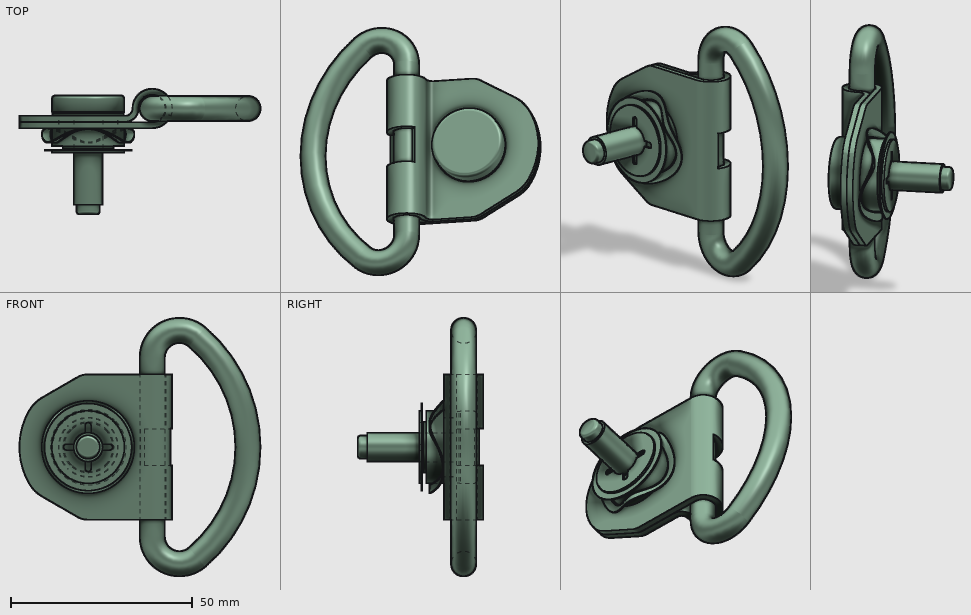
import cadquery as cq
import math


rod_dia = 7.0
hinge_x = 17.65
ring_half_height = 35.6
ring_right_x = 47.45
corner_bend_r = 7.5

sheet_t = 1.7
fold_gap = 0.035
eye_inner_r = 7.5 / 2
eye_outer_r = eye_inner_r + sheet_t
sheet_half_height = 20.0
nose_x = -18.9
nose_r = 20.0
shoulder_r = 9.95
corner_r = 5.0
flank_angle = 30.0
notch_half_height = 5.05
notch_start_angle = -21.0
notch_end_angle = 127.0
swivel_hole_dia = 16.45

front_leaf_inner_y = -eye_inner_r
sheet_front_y = -eye_outer_r
back_leaf_front_y = front_leaf_inner_y + fold_gap
sheet_back_y = back_leaf_front_y + sheet_t

hub_dia = 20.0
cap_back_y = 3.6
cap_edge_r = 1.1
cap_chamfer_back_y = -0.85
cap_chamfer_front_y = -1.3
cap_foot_dia = 19.65
journal_dia = 16.1
hub_front_y = -10.3
neck_dia = 14.0
neck_front_y = -11.3
neck_chamfer = 0.3

spring_outer_r = 25.5 / 2
spring_inner_r = 20.8 / 2
spring_t = 0.3
spring_front_y = -9.45
spring_waves = 3
spring_crest_broadening = 0.2
spring_points = 72

washer_dia = 24.0
washer_t = 0.3
retainer_dia = 20.0
retainer_t = 0.65
slot_count = 4
slot_width = 1.65
slot_reach = 6.75

screw_dia = 8.0
tip_dia = 6.5
screw_step_y = -26.55
overall_depth = 34.6
screw_tip_y = eye_outer_r - overall_depth
tip_edge_r = 0.9


def disc(dia, back_y, front_y):
    """Cylinder on the Y axis between two Y positions."""
    return cq.Workplane("XZ", origin=(0, back_y, 0)).circle(dia / 2).extrude(back_y - front_y)


def polar(center_x, center_y, radius, angle):
    """Point at an angle, in degrees, on a circle."""
    a = math.radians(angle)
    return center_x + radius * math.cos(a), center_y + radius * math.sin(a)


def make_ring():
    """Round rod bent into a closed D."""
    bend_z = ring_half_height - rod_dia / 2 - corner_bend_r
    bend_x = hinge_x + corner_bend_r
    bow_x = ring_right_x - rod_dia / 2
    join_angle = 2 * math.degrees(math.atan((bow_x - bend_x - corner_bend_r) / bend_z))
    join = polar(bend_x, bend_z, corner_bend_r, join_angle)
    bend_mid = polar(bend_x, bend_z, corner_bend_r, (180 + join_angle) / 2)
    path = (
        cq.Workplane("XZ")
        .moveTo(hinge_x, 0)
        .lineTo(hinge_x, bend_z)
        .threePointArc(bend_mid, join)
        .threePointArc((bow_x, 0), (join[0], -join[1]))
        .threePointArc((bend_mid[0], -bend_mid[1]), (hinge_x, -bend_z))
        .close()
    )
    return cq.Workplane("XY").center(hinge_x, 0).circle(rod_dia / 2).sweep(path)


def make_sheet_outline():
    """Block with the outline of the folded sheet, tapering to a round nose."""
    flank = math.radians(flank_angle)
    nose_center_x = nose_x + nose_r
    nose_end = polar(nose_center_x, 0, nose_r, 180 - flank_angle)
    shoulder_step = shoulder_r * (math.cos(flank) - math.sin(flank))
    shoulder_x = nose_end[0] + shoulder_step
    shoulder_z = nose_end[1] + shoulder_step
    corner_z = sheet_half_height - corner_r * (1 - math.cos(flank))
    corner_x = shoulder_x + (corner_z - shoulder_z) / math.tan(flank)
    top_x = corner_x + corner_r * math.sin(flank)
    right_x = hinge_x + eye_outer_r
    corner_mid = polar(top_x, sheet_half_height - corner_r, corner_r, 90 + flank_angle / 2)
    shoulder_center_x = nose_end[0] + shoulder_r * math.cos(flank)
    shoulder_center_z = nose_end[1] - shoulder_r * math.sin(flank)
    shoulder_mid = polar(shoulder_center_x, shoulder_center_z, shoulder_r, 135)
    return (
        cq.Workplane("XZ", origin=(0, eye_outer_r, 0))
        .moveTo(right_x, sheet_half_height)
        .lineTo(top_x, sheet_half_height)
        .threePointArc(corner_mid, (corner_x, corner_z))
        .lineTo(shoulder_x, shoulder_z)
        .threePointArc(shoulder_mid, nose_end)
        .threePointArc((nose_x, 0), (nose_end[0], -nose_end[1]))
        .threePointArc((shoulder_mid[0], -shoulder_mid[1]), (shoulder_x, -shoulder_z))
        .lineTo(corner_x, -corner_z)
        .threePointArc((corner_mid[0], -corner_mid[1]), (top_x, -sheet_half_height))
        .lineTo(right_x, -sheet_half_height)
        .close()
        .extrude(2 * eye_outer_r)
    )


def make_folded_sheet():
    """Sheet rolled round the ring and folded back on itself, with the swivel hole."""
    bend_inner_r = -sheet_back_y
    bend_outer_r = bend_inner_r + sheet_t
    bend_x = hinge_x - eye_outer_r - bend_inner_r
    profile = (
        cq.Workplane("XY", origin=(0, 0, -sheet_half_height))
        .moveTo(nose_x, sheet_front_y)
        .lineTo(hinge_x, sheet_front_y)
        .threePointArc(polar(hinge_x, 0, eye_outer_r, 45), (hinge_x - eye_outer_r, 0))
        .threePointArc(polar(bend_x, 0, bend_inner_r, -45), (bend_x, sheet_back_y))
        .lineTo(nose_x, sheet_back_y)
        .lineTo(nose_x, back_leaf_front_y)
        .lineTo(bend_x, back_leaf_front_y)
        .threePointArc(polar(bend_x, 0, bend_outer_r, -45), (hinge_x - eye_inner_r, 0))
        .threePointArc(polar(hinge_x, 0, eye_inner_r, 45), (hinge_x, front_leaf_inner_y))
        .lineTo(nose_x, front_leaf_inner_y)
        .close()
    )
    outline = make_sheet_outline()
    swivel_hole = disc(swivel_hole_dia, eye_inner_r, sheet_front_y)
    return profile.extrude(2 * sheet_half_height).intersect(outline).cut(make_notch()).cut(swivel_hole)


def make_notch():
    """Wedge-shaped block that removes the middle of the eye between two radial edges."""
    reach = 2 * eye_outer_r
    mid_angle = (notch_start_angle + notch_end_angle) / 2
    return (
        cq.Workplane("XY", origin=(0, 0, -notch_half_height))
        .moveTo(hinge_x, 0)
        .lineTo(*polar(hinge_x, 0, reach, notch_start_angle))
        .threePointArc(polar(hinge_x, 0, reach, mid_angle), polar(hinge_x, 0, reach, notch_end_angle))
        .close()
        .extrude(2 * notch_half_height)
    )


def make_cap():
    """Round cap behind the sheet, rounded at the back and tapered to a foot at the front."""
    profile = (
        cq.Workplane("XY")
        .moveTo(0, cap_back_y)
        .lineTo(hub_dia / 2 - cap_edge_r, cap_back_y)
        .radiusArc((hub_dia / 2, cap_back_y - cap_edge_r), cap_edge_r)
        .lineTo(hub_dia / 2, cap_chamfer_back_y)
        .lineTo(cap_foot_dia / 2, cap_chamfer_front_y)
        .lineTo(cap_foot_dia / 2, sheet_back_y)
        .lineTo(0, sheet_back_y)
        .close()
    )
    return profile.revolve(360, (0, 0, 0), (0, 1, 0))


def make_hub():
    """Hub with a journal through the sheet, a neck at the front and the screw hole."""
    journal = disc(journal_dia, sheet_back_y, sheet_front_y)
    body = disc(hub_dia, sheet_front_y, hub_front_y)
    neck = disc(neck_dia, hub_front_y, neck_front_y).faces("<Y").chamfer(neck_chamfer)
    screw_hole = disc(screw_dia, sheet_back_y, neck_front_y)
    return journal.union(body).union(neck).cut(screw_hole)


def make_wave_spring():
    """Flat ring waving along Y with broad crests, one of which touches the sheet at the top (+Z)."""
    crest_y = sheet_front_y - spring_t
    mid_y = (crest_y + spring_front_y) / 2
    amplitude = (crest_y - spring_front_y) / 2

    def rim(radius, offset):
        points = []
        for i in range(spring_points):
            from_top = 2 * math.pi * i / spring_points
            phase = spring_waves * from_top
            phase -= spring_crest_broadening * math.sin(phase)
            y = mid_y + amplitude * math.cos(phase) + offset
            points.append(cq.Vector(radius * math.sin(from_top), y, radius * math.cos(from_top)))
        return cq.Edge.makeSpline(points, periodic=True)

    rims = [
        rim(spring_inner_r, 0),
        rim(spring_outer_r, 0),
        rim(spring_outer_r, spring_t),
        rim(spring_inner_r, spring_t),
    ]
    faces = [cq.Face.makeRuledSurface(rims[i - 1], rims[i]) for i in range(len(rims))]
    return cq.Workplane(cq.Solid.makeSolid(cq.Shell.makeShell(faces)))


def make_washer():
    """Thin washer against the neck of the hub."""
    front_y = neck_front_y - washer_t
    return disc(washer_dia, neck_front_y, front_y).cut(disc(screw_dia, neck_front_y, front_y))


def make_retainer():
    """Retaining disc with round-ended slots opening into its screw hole."""
    back_y = neck_front_y - washer_t
    front_y = back_y - retainer_t
    retainer = disc(retainer_dia, back_y, front_y).cut(disc(screw_dia, back_y, front_y))
    for i in range(slot_count):
        slot = (
            cq.Workplane("XZ", origin=(0, back_y, 0))
            .center(slot_reach / 2, 0)
            .slot2D(slot_reach, slot_width)
            .extrude(retainer_t)
            .rotate((0, 0, 0), (0, 1, 0), i * 360 / slot_count)
        )
        retainer = retainer.cut(slot)
    return retainer


def make_screw():
    """Shank from the cap forward, ending in a narrower round-edged tip."""
    shank = disc(screw_dia, sheet_back_y, screw_step_y)
    tip = disc(tip_dia, screw_step_y, screw_tip_y).faces("<Y").edges().fillet(tip_edge_r)
    return shank.union(tip)


ring = make_ring()
folded_sheet = make_folded_sheet()
cap = make_cap()
hub = make_hub()
wave_spring = make_wave_spring()
washer = make_washer()
retainer = make_retainer()
screw = make_screw()

bodies = [ring, folded_sheet, cap, hub, wave_spring, washer, retainer, screw]
result = cq.Compound.makeCompound([body.solids().val() for body in bodies])